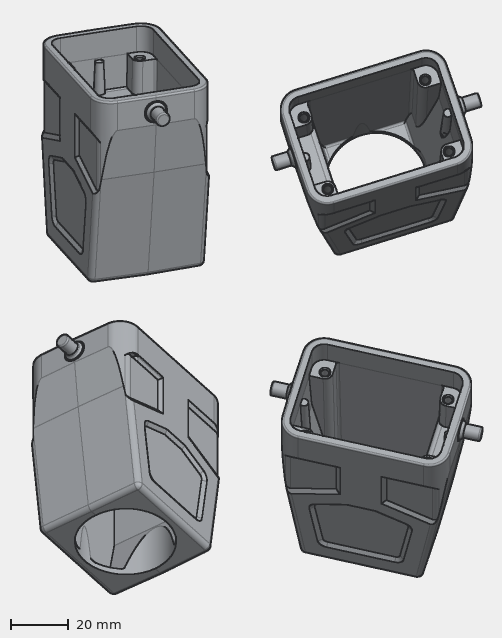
import cadquery as cq
import math

height = 72.0
depth = 43.0
half_depth = depth / 2
draft_angle = 0.8
rim_half_width = 30.0
waist_half_width = 27.9
base_half_width = 21.7
rim_band_z = 61.05
waist_z = 42.2
rim_corner_radius = 7.5
edge_radius = 2.0
rim_edge_radius = 0.7
corner_x = rim_half_width - rim_corner_radius
corner_y = half_depth - rim_corner_radius
crown = corner_y * math.tan(math.radians(draft_angle))

recess_depth = 1.1
recess_wall_width = 1.65
recess_wall_angle = math.degrees(math.atan(recess_wall_width / recess_depth))
ledge_slope = 0.35
upper_recess_x = 7.35
upper_recess_top_z = 58.95
upper_recess_low_z = 42.4
upper_recess_edge_radius = 3.15
panel_top_half_width = 5.25
panel_top_z = 36.9
panel_shoulder_half_width = 18.8
panel_base_half_width = 15.0
panel_base_z = 7.9
panel_corner_radius = 3.3

opening_half_width = 27.0
opening_half_depth = 18.6
opening_corner_radius = 4.5
post_top_z = 62.25
cavity_draft = 1.3
floor_z = 2.6
floor_half_width_left = 13.9
floor_half_width_right = 16.05
floor_edge_radius = 0.9
cavity_kink_z = 45.75
cavity_kink_x = 25.95
shelf_z = 49.5
shelf_inner_x = 18.4
shelf_foot_x = 17.7
shelf_foot_z = 19.5
shelf_edge_radius = 2.2
shelf_root_radius = 1.1
cable_hole_radius = 17.55

post_hole_x = 22.05
post_hole_y = 13.5
post_wall = 2.8
post_hole_radius = 1.4
post_hole_depth = 15.0
post_hole_chamfer = 0.5
post_root_radius = 0.9
rib_x = 25.95
rib_top_z = 61.5
rib_top_radius = 1.5
rib_draft = 2.5

pin_tip_x = 37.5
pin_z = 65.9
pin_radius = 2.55
pin_tip_radius = 0.5
collar_foot_radius = 4.4
collar_radius = 3.7
collar_x = 30.4
collar_shoulder_radius = 2.85
collar_shoulder_x = 31.35
collar_end_x = 31.7

overlap = 7.5


def ledge_z(x):
    return upper_recess_low_z - ledge_slope * (x - upper_recess_x)


def tapered_cut(points, cut_depth, corner_radius=0.0):
    """Cutter sunk into the -Y face from an XZ outline, narrowing at the recess wall angle."""
    sketch = cq.Sketch().polygon(points + points[:1])
    if corner_radius:
        sketch = sketch.vertices("not >Y").fillet(corner_radius)
    face = cq.Workplane("XZ", origin=(0, -half_depth, 0)).placeSketch(sketch)
    return face.extrude(-cut_depth, taper=recess_wall_angle)


def on_all_sides(solid):
    """Copies of a solid mirrored across the X and Y centre planes."""
    pair = solid.union(solid.mirror("YZ"))
    return pair.union(pair.mirror("XZ"))


def make_blank():
    """Tapered block drafted away from y = 0, with the base and its upright edges rounded."""
    outline = [
        (base_half_width + crown, 0),
        (waist_half_width + crown, waist_z),
        (rim_half_width + crown, rim_band_z),
        (rim_half_width + crown, height + overlap),
    ]
    outline += [(-x, z) for x, z in reversed(outline)]
    half = cq.Workplane("XZ").polyline(outline).close().extrude(half_depth, taper=draft_angle)
    half = half.faces("<Y").edges("not >Z").fillet(edge_radius)
    right_base = cq.selectors.BoxSelector(
        (base_half_width - 0.75, -half_depth + 0.75, 0.04), (base_half_width + 0.75, -0.75, 0.75)
    )
    left_base = cq.selectors.BoxSelector(
        (-base_half_width + 0.75, -half_depth + 0.75, 0.04), (-base_half_width - 0.75, -0.75, 0.75)
    )
    half = half.edges(right_base + left_base).fillet(edge_radius)
    trim_size = 4 * (rim_half_width + overlap)
    trim = cq.Workplane("XY").box(trim_size, trim_size, height, centered=(True, True, False))
    half = half.intersect(trim)
    return half.union(half.mirror("XZ"))


def corner_column():
    """Upright column whose outer quarter is the large corner round."""
    column = cq.Workplane("XY").center(corner_x, -corner_y).circle(rim_corner_radius)
    return column.extrude(height)


def corner_block(inner_x):
    """Block over the corner, from inner_x outwards and from the round's centre outwards in Y."""
    block = cq.Workplane("XY").box(
        rim_half_width + overlap - inner_x, rim_corner_radius + overlap, height, centered=False
    )
    return block.translate((inner_x, -half_depth - overlap, 0))


def corner_cutter():
    """Turns one corner above the ledge into a large upright round."""
    far = 3 * height
    ledge = [(-far, ledge_z(-far)), (far, ledge_z(far)), (far, far), (-far, far)]
    above_ledge = tapered_cut(ledge, rim_corner_radius)
    return corner_block(corner_x).cut(corner_column()).intersect(above_ledge)


def upper_recess_cutter():
    """Recess whose flat floor blends into the corner round."""
    floor_y = -half_depth + recess_depth
    core = cq.Workplane("XY").box(corner_x, rim_corner_radius - recess_depth, height, centered=False)
    core = core.translate((0, floor_y, 0))
    below_floor = cq.Workplane("XY").box(
        2 * (rim_half_width + overlap), 2 * half_depth, height, centered=(True, False, False)
    )
    below_floor = below_floor.translate((0, floor_y, 0))
    core = core.union(corner_column().intersect(below_floor))
    floor_edge_x = corner_x + math.sqrt(rim_corner_radius**2 - (corner_y + floor_y) ** 2)
    core = core.edges(cq.selectors.NearestToPointSelector((floor_edge_x, floor_y, height / 2)))
    core = core.fillet(upper_recess_edge_radius)
    outer_x = rim_half_width + 2 * overlap
    outline = [
        (upper_recess_x, upper_recess_low_z),
        (outer_x, ledge_z(outer_x)),
        (outer_x, upper_recess_top_z),
        (upper_recess_x, upper_recess_top_z),
    ]
    cutter = tapered_cut(outline, 2 * recess_depth)
    return corner_block(0).cut(core).intersect(cutter)


def panel_cutter():
    """Shallow six-sided panel below the two upper recesses."""
    shoulder_z = panel_top_z - ledge_slope * (panel_shoulder_half_width - panel_top_half_width)
    right = [
        (panel_base_half_width, panel_base_z),
        (panel_shoulder_half_width, shoulder_z),
        (panel_top_half_width, panel_top_z),
    ]
    left = [(-x, z) for x, z in reversed(right)]
    return tapered_cut(right + left, recess_depth, panel_corner_radius)


def make_shell():
    shell = make_blank()
    shell = shell.cut(on_all_sides(corner_cutter()))
    shell = shell.cut(on_all_sides(upper_recess_cutter()))
    panel = panel_cutter()
    shell = shell.cut(panel).cut(panel.mirror("XZ"))
    return shell.faces(">Z").edges().fillet(rim_edge_radius)


def make_ribs():
    """Tapered round ribs standing at the middle of both end walls."""
    rib_height = rib_top_z - floor_z
    rib = cq.Workplane("XY").workplane(offset=rib_top_z).circle(rib_top_radius)
    rib = rib.extrude(-rib_height, taper=-rib_draft).translate((rib_x, 0, 0))
    return rib.union(rib.mirror("YZ"))


def make_cavity():
    """Drafted room between four screw posts, with a shelf at -X and sloping end walls."""
    post_x = post_hole_x - post_wall
    post_y = post_hole_y - post_wall
    top = cq.Workplane("XY").workplane(offset=post_top_z)
    room_depth = post_top_z - floor_z
    across = top.rect(2 * opening_half_width, 2 * post_y).extrude(-room_depth, taper=cavity_draft)
    along = top.rect(2 * post_x, 2 * opening_half_depth).extrude(-room_depth, taper=cavity_draft)
    room = across.union(along)
    middle_z = (floor_z + post_top_z) / 2
    upright = [edge for edge in room.edges().vals() if abs(edge.Center().z - middle_z) < 0.75]
    inner = [edge for edge in upright if abs(edge.Center().x) < post_hole_x]
    post_edges = [edge for edge in inner if abs(edge.Center().y) < post_hole_y]
    wall_edges = [edge for edge in inner if abs(edge.Center().y) > post_hole_y]
    room = cq.Workplane(room.val().fillet(post_wall, post_edges).fillet(post_root_radius, wall_edges))
    ends = (
        cq.Workplane("XZ")
        .moveTo(-floor_half_width_left, floor_z)
        .lineTo(floor_half_width_right, floor_z)
        .lineTo(cavity_kink_x, cavity_kink_z)
        .lineTo(opening_half_width, post_top_z)
        .lineTo(-opening_half_width, post_top_z)
        .lineTo(-opening_half_width, shelf_z)
        .lineTo(-shelf_inner_x, shelf_z)
        .lineTo(-shelf_foot_x, shelf_foot_z)
        .close()
        .extrude(half_depth, both=True)
    )
    ends = ends.edges(cq.selectors.NearestToPointSelector((-shelf_inner_x, 0, shelf_z)))
    ends = ends.fillet(shelf_edge_radius)
    ends = ends.edges(cq.selectors.NearestToPointSelector((-opening_half_width, 0, shelf_z)))
    ends = ends.fillet(shelf_root_radius)
    room = room.intersect(ends)
    room = room.faces("<Z").edges().fillet(floor_edge_radius)
    return room.cut(make_ribs())


def make_opening():
    opening = cq.Workplane("XY").workplane(offset=post_top_z)
    opening = opening.rect(2 * opening_half_width, 2 * opening_half_depth).extrude(height - post_top_z)
    return opening.edges("|Z").fillet(opening_corner_radius)


def make_cable_hole():
    return cq.Workplane("XY").circle(cable_hole_radius).extrude(post_top_z)


def make_post_hole():
    """Blind screw hole with a chamfered mouth in the top of a post."""
    hole = cq.Workplane("XY").workplane(offset=post_top_z).circle(post_hole_radius)
    hole = hole.extrude(-post_hole_depth)
    mouth_radius = post_hole_radius + post_hole_chamfer
    mouth = cq.Workplane("XY").workplane(offset=post_top_z).circle(mouth_radius)
    mouth = mouth.extrude(-post_hole_chamfer, taper=45)
    return hole.union(mouth).translate((post_hole_x, -post_hole_y, 0))


def make_pin():
    """Locking pin with a conical collar, turned about an axis along X."""
    root_x = (opening_half_width + rim_half_width) / 2
    profile = [
        (root_x, 0),
        (root_x, collar_foot_radius),
        (rim_half_width, collar_foot_radius),
        (collar_x, collar_radius),
        (collar_shoulder_x, collar_shoulder_radius),
        (collar_end_x, pin_radius),
        (pin_tip_x, pin_radius),
        (pin_tip_x, 0),
    ]
    pin = cq.Workplane("XY").polyline(profile).close().revolve(360, (0, 0, 0), (1, 0, 0))
    pin = pin.faces(">X").edges().fillet(pin_tip_radius)
    return pin.translate((0, 0, pin_z))


pin = make_pin()
body = make_shell().union(pin).union(pin.mirror("YZ"))
body = body.cut(make_cavity()).cut(make_opening()).cut(make_cable_hole())
result = body.cut(on_all_sides(make_post_hole()))